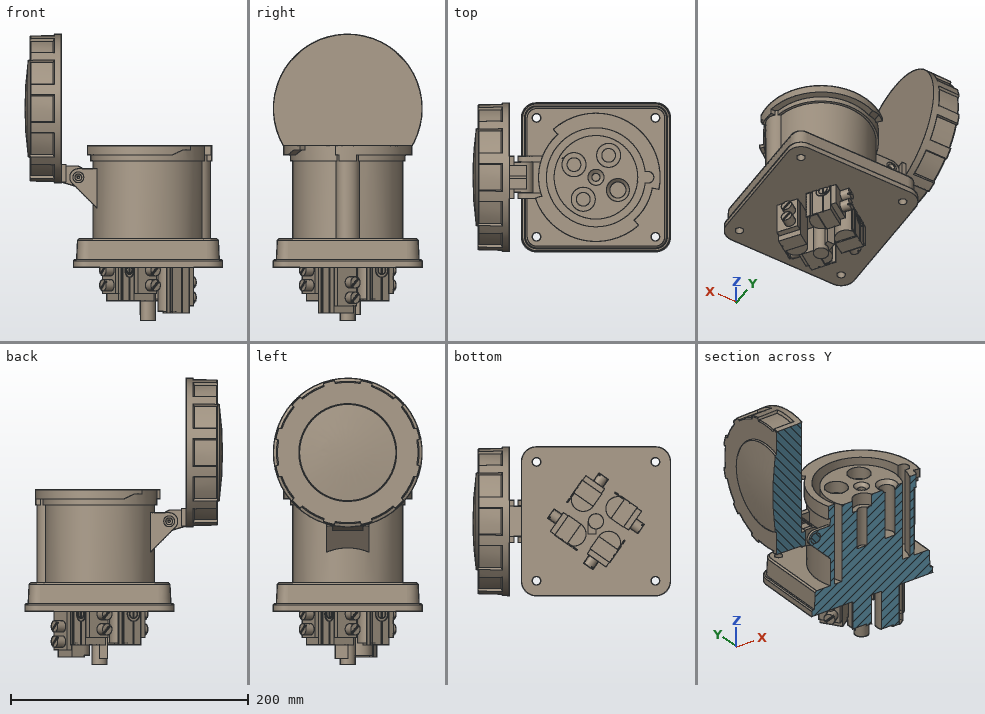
import cadquery as cq
import math


OVERALL_LENGTH = 166.3

FLANGE_SIDE = 125.5
FLANGE_HEIGHT = 6.5
FLANGE_CHAMFER = 1.08
BASE_SIDE = 120.3
BASE_TOP = 24.0
BASE_TAPER = 2.8
BASE_CHAMFER = 1.5
SCREW_SPACING = 100.0
SCREW_HOLE_DIAMETER = 7.0

BARREL_DIAMETER = 92.8
BARREL_TOP = 102.5
COLLAR_DIAMETER = 96.6
COLLAR_BOTTOM = 89.5
LUG_RADIUS = 54.0
LUG_BOTTOM = 94.5
LUG_END_ANGLE = 131.7
KEY_LUG_START_ANGLE = -10.8
PLAIN_LUG_START_ANGLE = 19.0
RAMP_START = 20.5
RAMP_END = 29.6
RAMP_RISE = 4.3

BORE_RADIUS = 41.7
BORE_FLOOR = BASE_TOP
KEYWAY_RADIUS = 4.8
KEYWAY_OFFSET = 43.9
KEY_RIB_RADIUS = 10.1
KEY_RIB_OFFSET = 42.7
KEY_PAD_WIDTH = 14.5
INSERT_RADIUS = 35.2
INSERT_TOP = 98.8
CONTACT_CIRCLE_DIAMETER = 42.7
PHASE_ANGLES = (60, 150, 240)
EARTH_ANGLE = 330
CONTACT_RECESS_RADIUS = 10.1
CONTACT_RECESS_DEPTH = 11.0
CONTACT_HOLE_RADIUS = 5.8
EARTH_MOUTH_RADIUS = 9.6
EARTH_HOLE_RADIUS = 6.7
EARTH_MOUTH_DEPTH = 3.5
PILOT_MOUTH_RADIUS = 6.7
PILOT_HOLE_RADIUS = 3.4
PILOT_MOUTH_DEPTH = 3.0
CONTACT_HOLE_DEPTH = 48.2

TERMINAL_TURN = 65.0
TERMINAL_FRONT = 12.8
TERMINAL_BACK = 10.0
SIDE_PLATE_THICKNESS = 1.0
TERMINAL_WIDTH = 20.2
TERMINAL_DEPTH = 28.2
TERMINAL_BARREL_DEPTH = 26.8
EARTH_EXTRA_DEPTH = 10.4
CLAMP_PLATE_REACH = 17.5
CLAMP_PLATE_WIDTH = 19.3
CLAMP_DEPTH = 22.2
CLAMP_OFFSET = 3.0
CLAMP_SCREW_RADIUS = 4.8
CLAMP_SCREW_REACH = 25.8
CLAMP_SCREW_DEPTHS = (2.5, 15.2)
DRIVER_SLOT_WIDTH = 1.2
DRIVER_SLOT_DEPTH = 1.5
DRIVER_SLOT_TILT = -45.0
RING_OUTER_RADIUS = 6.3
RING_INNER_RADIUS = 3.9
RING_OFFSET = 5.5
RING_CENTER_DEPTH = 2.2
RELIEF_DEPTH = 0.7
SEAM_WIDTH = 0.7
SIDE_GROOVE_OFFSET = -5.3
SIDE_GROOVE_WIDTH = 2.0
PILOT_TUBE_DIAMETER = 12.8
PILOT_TUBE_DEPTH = 44.8
PILOT_BLOCK_WIDTH = 6.7
PILOT_BLOCK_REACH = 10.5
PILOT_BLOCK_DEPTH = 39.8

PIVOT_X = -58.5
PIVOT_Z = 75.7
EAR_RADIUS = 7.2
EAR_SLOPE_ANGLE = 45.0
EAR_INNER = 13.0
EAR_OUTER = 17.8
HINGE_ROOT_X = -42.5
HINGE_SLOT_FLOOR = 68.0
PIN_RADIUS = 4.5
PIN_DIMPLE_RADIUS = 3.0
PIN_DIMPLE_TIP_RADIUS = 1.0
PIN_DIMPLE_DEPTH = 2.0

LID_RADIUS = 62.7
LID_CENTER_Z = 133.5
LID_BACK_X = -72.8
LID_FACE_RADIUS = 62.2
LID_FACE_X = -99.3
LID_CHAMFER = 0.7
DOME_RADIUS = 40.5
DOME_STEP = 1.5
DOME_STEP_FLARE = 0.7
DOME_TIP_X = FLANGE_SIDE / 2 - OVERALL_LENGTH
GRIP_COUNT = 12
GRIP_FLOOR_RADIUS = 60.0
GRIP_FLOOR_CHAMFER = 1.0
GRIP_FLOOR_END_X = -79.8
GRIP_END_SLOPE = 1.2
GRIP_FLOOR_WIDTH = 20.7
GRIP_MOUTH_WIDTH = 24.5
ARM_HALF_WIDTH = 12.8
ARM_TOP = 85.3
ARM_SHOULDER_X = -60.7
KNUCKLE_RADIUS = 5.5
ARM_RECESS_WIDTH = 19.5
ARM_RECESS_DEPTH = 1.5
ARM_RECESS_END_X = -58.5
ARM_RIB_WIDTH = 2.0
BRACKET_THICKNESS = 3.9
BRACKET_TOP = 86.5
BRACKET_BOTTOM = 71.5


def disc(radius, bottom, top, x=0.0, y=0.0):
    """Vertical cylinder between two heights."""
    return cq.Workplane("XY", origin=(x, y, bottom)).circle(radius).extrude(top - bottom)


def block(x_range, y_range, z_range):
    """Axis-aligned box given by its limits."""
    size = [high - low for low, high in (x_range, y_range, z_range)]
    corner = (x_range[0], y_range[0], z_range[0])
    return cq.Workplane("XY").box(*size, centered=False).translate(corner)


def cone(mouth_radius, tip_radius, depth, top, x=0.0, y=0.0):
    """Tapered plug narrowing downwards from its mouth."""
    solid = cq.Solid.makeCone(mouth_radius, tip_radius, depth, cq.Vector(x, y, top), cq.Vector(0, 0, -1))
    return cq.Workplane(solid)


def polar(radius, angle):
    """Plane coordinates of a point at a radius and an angle in degrees."""
    turn = math.radians(angle)
    return radius * math.cos(turn), radius * math.sin(turn)


def rounded_square(side, bottom, height, taper=0.0):
    """Square plate whose corner rounds are centred on the mounting holes."""
    corner_radius = (side - SCREW_SPACING) / 2
    outline = cq.Sketch().rect(side, side).vertices().fillet(corner_radius)
    return cq.Workplane("XY", origin=(0, 0, bottom)).placeSketch(outline).extrude(height, taper=taper)


def mounting_base():
    flange = rounded_square(FLANGE_SIDE, 0, FLANGE_HEIGHT).faces(">Z").chamfer(FLANGE_CHAMFER)
    base = rounded_square(BASE_SIDE, FLANGE_HEIGHT, BASE_TOP - FLANGE_HEIGHT, BASE_TAPER)
    return flange.union(base.faces(">Z").chamfer(BASE_CHAMFER))


def bayonet_lug(start_angle):
    """Collar sector with a ramp under its leading end."""
    middle_angle = (start_angle + LUG_END_ANGLE) / 2
    lug = (
        cq.Workplane("XY", origin=(0, 0, LUG_BOTTOM))
        .lineTo(*polar(LUG_RADIUS, start_angle))
        .threePointArc(polar(LUG_RADIUS, middle_angle), polar(LUG_RADIUS, LUG_END_ANGLE))
        .close()
        .extrude(BARREL_TOP - LUG_BOTTOM)
    )
    ramp = (
        cq.Workplane("XZ")
        .moveTo(-RAMP_START, LUG_BOTTOM)
        .lineTo(-RAMP_END, LUG_BOTTOM + RAMP_RISE)
        .lineTo(-LUG_RADIUS, LUG_BOTTOM + RAMP_RISE)
        .lineTo(-LUG_RADIUS, LUG_BOTTOM)
        .close()
        .extrude(-LUG_RADIUS)
    )
    leading_side = block((-LUG_RADIUS, 0), (LUG_RADIUS / 2, LUG_RADIUS), (LUG_BOTTOM, BARREL_TOP))
    return lug.cut(ramp.intersect(leading_side))


def barrel():
    """Barrel with its collar, the rib around the keyway and both bayonet lugs."""
    key_pad = block((0, LUG_RADIUS), (-KEY_PAD_WIDTH / 2, KEY_PAD_WIDTH / 2), (COLLAR_BOTTOM, LUG_BOTTOM))
    key_pad = key_pad.intersect(disc(LUG_RADIUS, COLLAR_BOTTOM, LUG_BOTTOM))
    return (
        disc(BARREL_DIAMETER / 2, 0, BARREL_TOP)
        .union(disc(COLLAR_DIAMETER / 2, COLLAR_BOTTOM, BARREL_TOP))
        .union(disc(KEY_RIB_RADIUS, BASE_TOP, BARREL_TOP, KEY_RIB_OFFSET))
        .union(key_pad)
        .union(bayonet_lug(KEY_LUG_START_ANGLE))
        .union(bayonet_lug(PLAIN_LUG_START_ANGLE).rotate((0, 0, 0), (0, 0, 1), 180))
    )


def hinge_ears():
    """Full-width hinge bracket; the slot leaves an ear on each side."""
    arc_start_angle = 90
    arc_end_angle = 270 - EAR_SLOPE_ANGLE
    mid_dx, mid_dz = polar(EAR_RADIUS, (arc_start_angle + arc_end_angle) / 2)
    end_dx, end_dz = polar(EAR_RADIUS, arc_end_angle)
    slope_x = PIVOT_X + end_dx
    slope_z = PIVOT_Z + end_dz
    root_z = slope_z - (HINGE_ROOT_X - slope_x) * math.tan(math.radians(EAR_SLOPE_ANGLE))
    bracket = (
        cq.Workplane("XZ", origin=(0, EAR_OUTER, 0))
        .moveTo(HINGE_ROOT_X, PIVOT_Z + EAR_RADIUS)
        .lineTo(PIVOT_X, PIVOT_Z + EAR_RADIUS)
        .threePointArc((PIVOT_X + mid_dx, PIVOT_Z + mid_dz), (slope_x, slope_z))
        .lineTo(HINGE_ROOT_X, root_z)
        .close()
        .extrude(2 * EAR_OUTER)
    )
    slot = block(
        (PIVOT_X - 2 * EAR_RADIUS, HINGE_ROOT_X),
        (-EAR_INNER, EAR_INNER),
        (HINGE_SLOT_FLOOR, BARREL_TOP),
    )
    return bracket.cut(slot).cut(hinge_pin())


def bore_and_keyway():
    slot = block((0, KEYWAY_OFFSET), (-KEYWAY_RADIUS, KEYWAY_RADIUS), (BORE_FLOOR, BARREL_TOP))
    return (
        disc(BORE_RADIUS, BORE_FLOOR, BARREL_TOP)
        .union(slot)
        .union(disc(KEYWAY_RADIUS, BORE_FLOOR, BARREL_TOP, KEYWAY_OFFSET))
    )


def contact_insert():
    insert = disc(INSERT_RADIUS, BORE_FLOOR, INSERT_TOP)
    hole_bottom = INSERT_TOP - CONTACT_HOLE_DEPTH
    for angle in PHASE_ANGLES:
        x, y = polar(CONTACT_CIRCLE_DIAMETER / 2, angle)
        insert = insert.cut(disc(CONTACT_RECESS_RADIUS, INSERT_TOP - CONTACT_RECESS_DEPTH, INSERT_TOP, x, y))
        insert = insert.cut(disc(CONTACT_HOLE_RADIUS, hole_bottom, INSERT_TOP, x, y))
    x, y = polar(CONTACT_CIRCLE_DIAMETER / 2, EARTH_ANGLE)
    return (
        insert.cut(cone(EARTH_MOUTH_RADIUS, EARTH_HOLE_RADIUS, EARTH_MOUTH_DEPTH, INSERT_TOP, x, y))
        .cut(disc(EARTH_HOLE_RADIUS, hole_bottom, INSERT_TOP, x, y))
        .cut(cone(PILOT_MOUTH_RADIUS, PILOT_HOLE_RADIUS, PILOT_MOUTH_DEPTH, INSERT_TOP))
        .cut(disc(PILOT_HOLE_RADIUS, hole_bottom, INSERT_TOP))
    )


def clamp_screw(height):
    """Slotted screw pointing along local +X."""
    screw = cq.Workplane("YZ", origin=(0, 0, height)).circle(CLAMP_SCREW_RADIUS).extrude(CLAMP_SCREW_REACH)
    driver_slot = cq.Workplane("XY").box(2 * DRIVER_SLOT_DEPTH, DRIVER_SLOT_WIDTH, 3 * CLAMP_SCREW_RADIUS)
    driver_slot = driver_slot.rotate((0, 0, 0), (1, 0, 0), DRIVER_SLOT_TILT)
    driver_slot = driver_slot.translate((CLAMP_SCREW_REACH, 0, height))
    return screw.cut(driver_slot).translate((0, CLAMP_OFFSET, 0))


def terminal_clamp(drop):
    """Clamping plate with two screws through it."""
    half_width = CLAMP_PLATE_WIDTH / 2
    clamp = block((0, CLAMP_PLATE_REACH), (-half_width, half_width), (-CLAMP_DEPTH - drop, 0))
    for depth in CLAMP_SCREW_DEPTHS:
        clamp = clamp.union(clamp_screw(-depth - drop))
    return clamp


def side_relief(drop):
    """Seam and groove cut into the side face of a terminal."""
    side_y = -TERMINAL_WIDTH / 2
    relief_y = (side_y, side_y + RELIEF_DEPTH)
    bottom = -TERMINAL_DEPTH - drop
    seam_x = (RING_OFFSET - SEAM_WIDTH / 2, RING_OFFSET + SEAM_WIDTH / 2)
    groove_x = (SIDE_GROOVE_OFFSET - SIDE_GROOVE_WIDTH / 2, SIDE_GROOVE_OFFSET + SIDE_GROOVE_WIDTH / 2)
    return block(seam_x, relief_y, (bottom, 0)).union(block(groove_x, relief_y, (bottom, 0)))


def side_ring():
    """Ring-shaped groove around the top of the seam, on the phase terminals only."""
    return (
        cq.Workplane("XZ", origin=(RING_OFFSET, -TERMINAL_WIDTH / 2 + RELIEF_DEPTH, -RING_CENTER_DEPTH))
        .circle(RING_OUTER_RADIUS)
        .circle(RING_INNER_RADIUS)
        .extrude(RELIEF_DEPTH)
    )


def terminal_body(drop=0.0):
    """Terminal centred on its contact, with its screws along +X."""
    half_width = TERMINAL_WIDTH / 2
    bottom = -TERMINAL_DEPTH - drop
    side_plate_y = (-half_width, -half_width + SIDE_PLATE_THICKNESS)
    body = block((0, TERMINAL_FRONT), (-half_width, half_width), (bottom, 0))
    body = body.union(block((-TERMINAL_BACK, TERMINAL_FRONT), side_plate_y, (bottom, 0)))
    body = body.union(disc(CONTACT_RECESS_RADIUS, -TERMINAL_BARREL_DEPTH - drop, 0))
    body = body.union(terminal_clamp(drop)).cut(side_relief(drop))
    return body.intersect(disc(FLANGE_SIDE, bottom, 0))


def place_terminal(body, angle):
    """Turn a terminal to suit its contact and move it under the contact."""
    x, y = polar(CONTACT_CIRCLE_DIAMETER / 2, angle)
    return body.rotate((0, 0, 0), (0, 0, 1), angle + TERMINAL_TURN).translate((x, y, 0))


def pilot_terminal():
    tube = disc(PILOT_TUBE_DIAMETER / 2, -PILOT_TUBE_DEPTH, 0)
    side_block = block((-PILOT_BLOCK_WIDTH, 0), (0, PILOT_BLOCK_REACH), (-PILOT_BLOCK_DEPTH, 0))
    return tube.union(side_block)


def make_housing():
    housing = mounting_base().union(barrel()).union(hinge_ears())
    housing = housing.cut(bore_and_keyway()).union(contact_insert())
    phase_terminal = terminal_body().cut(side_ring())
    for angle in PHASE_ANGLES:
        housing = housing.union(place_terminal(phase_terminal, angle))
    earth_terminal = terminal_body(EARTH_EXTRA_DEPTH)
    housing = housing.union(place_terminal(earth_terminal, EARTH_ANGLE)).union(pilot_terminal())
    mounting_holes = (
        cq.Workplane("XY")
        .rect(SCREW_SPACING, SCREW_SPACING, forConstruction=True)
        .vertices()
        .circle(SCREW_HOLE_DIAMETER / 2)
        .extrude(BASE_TOP)
    )
    return housing.cut(mounting_holes)


def hinge_pin():
    return (
        cq.Workplane("XZ", origin=(PIVOT_X, EAR_OUTER, PIVOT_Z)).circle(PIN_RADIUS).extrude(2 * EAR_OUTER)
    )


def pin_dimple(side):
    """Conical centre mark in one end of the pin; side is -1 or +1 along Y."""
    return cq.Workplane(
        cq.Solid.makeCone(
            PIN_DIMPLE_RADIUS,
            PIN_DIMPLE_TIP_RADIUS,
            PIN_DIMPLE_DEPTH,
            cq.Vector(PIVOT_X, side * EAR_OUTER, PIVOT_Z),
            cq.Vector(0, -side, 0),
        )
    )


def lid_shell():
    """Revolved lid: domed centre, flat face and a rim widening slightly towards the back."""
    step_x = LID_FACE_X - DOME_STEP
    rise = step_x - DOME_TIP_X
    sphere_radius = (DOME_RADIUS**2 + rise**2) / (2 * rise)
    half_chord = DOME_RADIUS / 2
    dome_mid_x = DOME_TIP_X + sphere_radius - math.sqrt(sphere_radius**2 - half_chord**2)
    return (
        cq.Workplane("XY")
        .moveTo(LID_BACK_X, 0)
        .lineTo(LID_BACK_X, LID_RADIUS)
        .lineTo(LID_FACE_X + LID_CHAMFER, LID_FACE_RADIUS)
        .lineTo(LID_FACE_X, LID_FACE_RADIUS - LID_CHAMFER)
        .lineTo(LID_FACE_X, DOME_RADIUS + DOME_STEP_FLARE)
        .lineTo(step_x, DOME_RADIUS)
        .threePointArc((dome_mid_x, half_chord), (DOME_TIP_X, 0))
        .close()
        .revolve(360, (0, 0, 0), (1, 0, 0))
    )


def grip_recesses():
    """Shallow finger recesses with sloping walls around the rim, open at the front face."""
    chamfer_radius = GRIP_FLOOR_RADIUS - GRIP_FLOOR_CHAMFER
    ring = (
        cq.Workplane("XY")
        .moveTo(LID_FACE_X, chamfer_radius)
        .lineTo(LID_FACE_X + GRIP_FLOOR_CHAMFER, GRIP_FLOOR_RADIUS)
        .lineTo(GRIP_FLOOR_END_X, GRIP_FLOOR_RADIUS)
        .lineTo(GRIP_FLOOR_END_X + GRIP_END_SLOPE, LID_RADIUS)
        .lineTo(LID_FACE_X, LID_RADIUS)
        .close()
        .revolve(360, (0, 0, 0), (1, 0, 0))
    )
    wedge_base = math.sqrt(chamfer_radius**2 - (GRIP_FLOOR_WIDTH / 2) ** 2)
    wedge = (
        cq.Workplane("YZ", origin=(LID_FACE_X, 0, 0))
        .moveTo(-GRIP_FLOOR_WIDTH / 2, wedge_base)
        .lineTo(GRIP_FLOOR_WIDTH / 2, wedge_base)
        .lineTo(GRIP_MOUTH_WIDTH / 2, LID_RADIUS)
        .lineTo(-GRIP_MOUTH_WIDTH / 2, LID_RADIUS)
        .close()
        .extrude(LID_BACK_X - LID_FACE_X)
    )
    recess = ring.intersect(wedge)
    recesses = cq.Workplane("XY")
    for index in range(GRIP_COUNT):
        recesses = recesses.union(recess.rotate((0, 0, 0), (1, 0, 0), index * 360 / GRIP_COUNT))
    return recesses


def hinge_arm():
    """Arm from the lid to the knuckle, with its bracket plate."""
    arm = (
        cq.Workplane("XZ", origin=(0, ARM_HALF_WIDTH, 0))
        .moveTo(LID_BACK_X, ARM_TOP)
        .lineTo(ARM_SHOULDER_X, ARM_TOP)
        .tangentArcPoint((PIVOT_X + KNUCKLE_RADIUS, PIVOT_Z), relative=False)
        .tangentArcPoint((PIVOT_X, PIVOT_Z - KNUCKLE_RADIUS), relative=False)
        .lineTo(ARM_SHOULDER_X, HINGE_SLOT_FLOOR)
        .lineTo(LID_BACK_X, BRACKET_BOTTOM)
        .close()
        .extrude(2 * ARM_HALF_WIDTH)
    )
    bracket_front_x = LID_BACK_X + BRACKET_THICKNESS
    recess_x = (LID_BACK_X, ARM_RECESS_END_X)
    recess_z = (ARM_TOP - ARM_RECESS_DEPTH, BRACKET_TOP)
    recess = block(recess_x, (-ARM_RECESS_WIDTH / 2, ARM_RECESS_WIDTH / 2), recess_z)
    rib = block(recess_x, (-ARM_RIB_WIDTH / 2, ARM_RIB_WIDTH / 2), (recess_z[0], ARM_TOP))
    bracket = block((LID_BACK_X, bracket_front_x), (-EAR_OUTER, EAR_OUTER), (BRACKET_BOTTOM, BRACKET_TOP))
    return arm.union(bracket).cut(recess).union(rib)


def make_lid():
    cap = lid_shell().cut(grip_recesses()).translate((0, 0, LID_CENTER_Z))
    lid = cap.union(hinge_arm()).union(hinge_pin())
    for side in (-1, 1):
        lid = lid.cut(pin_dimple(side))
    return lid


housing = make_housing()
lid = make_lid()
result = cq.Compound.makeCompound([housing.solids().val(), lid.solids().val()])